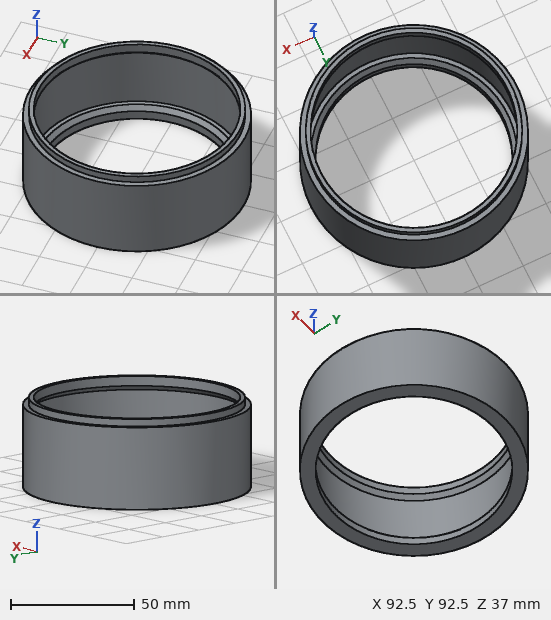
import cadquery as cq

outer_diameter = 92.5
total_height = 37.0
spigot_diameter = 87.7
spigot_height = 3.0

mouth_diameter = 83.7
mouth_height = 4.0
chamber_diameter = spigot_diameter
lip_diameter = 79.7
lip_height = 4.0

outer_radius = outer_diameter / 2
spigot_radius = spigot_diameter / 2
mouth_radius = mouth_diameter / 2
chamber_radius = chamber_diameter / 2
lip_radius = lip_diameter / 2

shoulder_level = total_height - spigot_height
mouth_bottom = total_height - mouth_height
chamber_top = mouth_bottom - (chamber_radius - mouth_radius)
chamber_floor = lip_height + (mouth_radius - lip_radius)

section = [
    (lip_radius, 0),
    (outer_radius, 0),
    (outer_radius, shoulder_level),
    (spigot_radius, shoulder_level),
    (spigot_radius, total_height),
    (mouth_radius, total_height),
    (mouth_radius, mouth_bottom),
    (chamber_radius, chamber_top),
    (chamber_radius, chamber_floor),
    (mouth_radius, chamber_floor),
    (lip_radius, lip_height),
]

result = cq.Workplane("XZ").polyline(section).close().revolve(360, (0, 0), (0, 1))